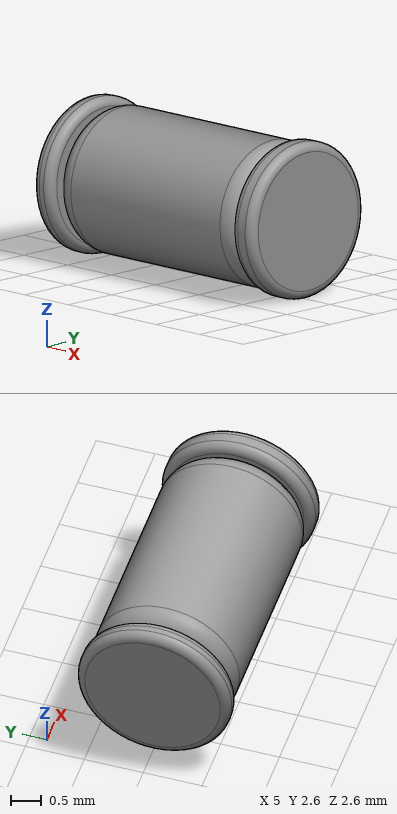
import cadquery as cq

total_length = 5.0
cap_diameter = 2.6
body_diameter = 2.45

left_cap_length = 0.4
right_cap_length = 0.47
cap_edge_radius = 0.15

body_edge_radius = 0.4
body_sink = 0.07

left_end = -total_length / 2
right_cap_start = total_length / 2 - right_cap_length
body_start = left_end + left_cap_length
body_length = right_cap_start + body_sink - body_start


def rounded_cylinder(start_x, length, diameter, edge_radius):
    """Cylinder along X with both rims rounded."""
    cylinder = cq.Workplane("YZ", origin=(start_x, 0, 0)).circle(diameter / 2).extrude(length)
    return cylinder.faces("<X or >X").edges().fillet(edge_radius)


left_cap = rounded_cylinder(left_end, left_cap_length, cap_diameter, cap_edge_radius)
right_cap = rounded_cylinder(right_cap_start, right_cap_length, cap_diameter, cap_edge_radius)
body = rounded_cylinder(body_start, body_length, body_diameter, body_edge_radius)

result = body.union(left_cap).union(right_cap)